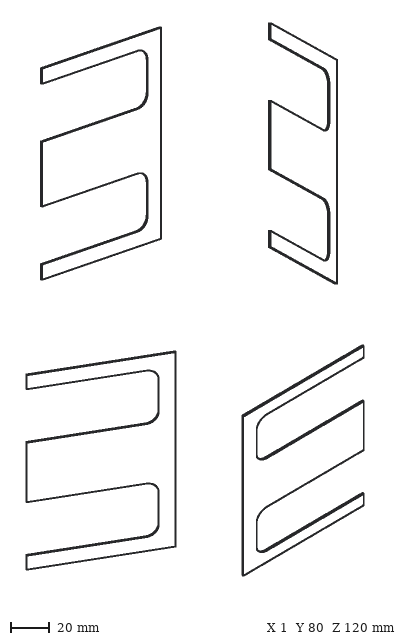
import cadquery as cq

thickness = 1.0
width = 80.0
height = 120.0

spine_width = 9.0
arm_height = 8.6
slot_height = 33.0
slot_corner_radius = 7.0

slot_length = width - spine_width
slot_offset = height / 2 - arm_height - slot_height / 2


def make_plate():
    return cq.Workplane("XY").box(thickness, width, height)


def make_slot(center_z):
    """Cutter for one slot, rounded at its closed +Y end."""
    center_y = -spine_width / 2
    return (
        cq.Workplane("XY")
        .box(thickness, slot_length, slot_height)
        .edges("|X and >Y")
        .fillet(slot_corner_radius)
        .translate((0, center_y, center_z))
    )


result = make_plate()
for side in (-1, 1):
    result = result.cut(make_slot(side * slot_offset))